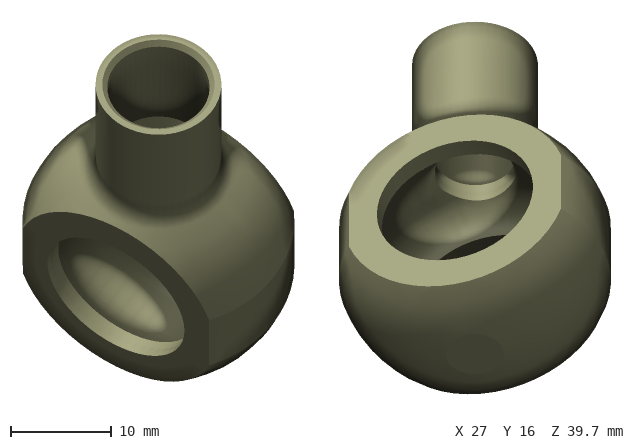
import math

import cadquery as cq

ball_radius = 14.0
waist_radius = 13.5
head_thickness = 16.0
base_height = -13.7

tube_radius = 12.5 / 2
tube_top = 26.0
neck_fillet = 2.5

bore_radius = 16.0 / 2
chamber_floor_half_width = 2.0
chamber_radius = 11.75
chamber_fillet = 4.0

passage_radius = 8.0 / 2
socket_radius = 10.15 / 2
socket_floor = 14.0
taper_angle = math.radians(59)
mouth_chamfer = 0.5


def on_ball(distance):
    """Coordinate that puts a point on the ball outline when its other coordinate is given."""
    return math.sqrt(ball_radius**2 - distance**2)


def make_body():
    """Ball, waist, neck fillet and tube turned about Z, then cut to the flat faces."""
    base_radius = on_ball(base_height)
    waist_height = on_ball(waist_radius)

    fillet_x = tube_radius + neck_fillet
    fillet_reach = ball_radius + neck_fillet
    fillet_z = math.sqrt(fillet_reach**2 - fillet_x**2)
    neck_x = fillet_x * ball_radius / fillet_reach
    neck_z = fillet_z * ball_radius / fillet_reach

    lower_angle = (math.atan2(base_height, base_radius) + math.atan2(-waist_height, waist_radius)) / 2
    upper_angle = (math.atan2(waist_height, waist_radius) + math.atan2(neck_z, neck_x)) / 2
    fillet_angle = math.pi + math.atan2(fillet_z, fillet_x) / 2
    lower_middle = (ball_radius * math.cos(lower_angle), ball_radius * math.sin(lower_angle))
    upper_middle = (ball_radius * math.cos(upper_angle), ball_radius * math.sin(upper_angle))
    fillet_middle = (
        fillet_x + neck_fillet * math.cos(fillet_angle),
        fillet_z + neck_fillet * math.sin(fillet_angle),
    )

    turned = (
        cq.Workplane("XZ")
        .moveTo(0, base_height)
        .lineTo(base_radius, base_height)
        .threePointArc(lower_middle, (waist_radius, -waist_height))
        .lineTo(waist_radius, waist_height)
        .threePointArc(upper_middle, (neck_x, neck_z))
        .threePointArc(fillet_middle, (tube_radius, fillet_z))
        .lineTo(tube_radius, tube_top)
        .lineTo(0, tube_top)
        .close()
        .revolve(360, (0, 0, 0), (0, 1, 0))
    )
    slab_size = 3 * tube_top
    slab = cq.Workplane("XY").box(slab_size, head_thickness, slab_size)
    return turned.intersect(slab)


def make_cross_bore():
    """Bore along Y, widened by a chamber with rounded side walls that run tangent into its floor."""
    half_length = head_thickness / 2
    round_centre_x = chamber_radius - chamber_fillet
    edge_angle = math.acos((bore_radius - round_centre_x) / chamber_fillet)
    chamber_edge = chamber_floor_half_width + chamber_fillet * math.sin(edge_angle)
    round_x = round_centre_x + chamber_fillet * math.cos(edge_angle / 2)
    round_y = chamber_floor_half_width + chamber_fillet * math.sin(edge_angle / 2)
    return (
        cq.Workplane("XY")
        .moveTo(0, -half_length)
        .lineTo(bore_radius, -half_length)
        .lineTo(bore_radius, -chamber_edge)
        .threePointArc((round_x, -round_y), (chamber_radius, -chamber_floor_half_width))
        .lineTo(chamber_radius, chamber_floor_half_width)
        .threePointArc((round_x, round_y), (bore_radius, chamber_edge))
        .lineTo(bore_radius, half_length)
        .lineTo(0, half_length)
        .close()
        .revolve(360, (0, 0, 0), (0, 1, 0))
    )


def make_tube_passage():
    """Chamfered socket tapering to a narrower hole that opens into the cross bore."""
    taper_depth = (socket_radius - passage_radius) / math.tan(taper_angle)
    return (
        cq.Workplane("XZ")
        .lineTo(passage_radius, 0)
        .lineTo(passage_radius, socket_floor - taper_depth)
        .lineTo(socket_radius, socket_floor)
        .lineTo(socket_radius, tube_top - mouth_chamfer)
        .lineTo(socket_radius + mouth_chamfer, tube_top)
        .lineTo(0, tube_top)
        .close()
        .revolve(360, (0, 0, 0), (0, 1, 0))
    )


result = make_body().cut(make_cross_bore()).cut(make_tube_passage())